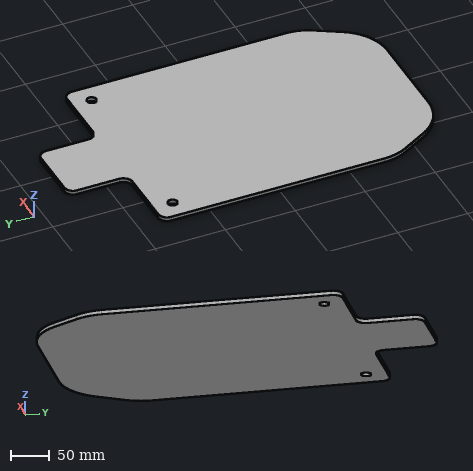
import cadquery as cq
import math

plate_width = 304.8
overall_length = 508.0
thickness = 6.35

tab_width = 96.0
tab_length = 85.725
small_corner_radius = 12.7

clip_height = 85.725
clip_angle = math.radians(60)
clip_corner_radius = 69.85

hole_diameter = 12.7
hole_edge_distance = 27.94

half_width = plate_width / 2
half_tab = tab_width / 2
bottom_y = -overall_length / 2
top_y = overall_length / 2
shoulder_y = top_y - tab_length
clip_top_y = bottom_y + clip_height
half_bottom = half_width - clip_height / math.tan(clip_angle)


def mirrored_corners(x, y):
    """Two points of the outline, placed symmetrically about the YZ plane."""
    return [(-x, y), (x, y)]


def round_corners(body, corners, radius):
    """Fillet the vertical edges that stand on the given corner points."""
    for x, y in corners:
        edge = cq.selectors.NearestToPointSelector((x, y, thickness / 2))
        body = body.edges("|Z").edges(edge).fillet(radius)
    return body


def make_plate():
    right_side = [
        (half_bottom, bottom_y),
        (half_width, clip_top_y),
        (half_width, shoulder_y),
        (half_tab, shoulder_y),
        (half_tab, top_y),
    ]
    left_side = [(-x, y) for x, y in reversed(right_side)]
    return cq.Workplane("XY").polyline(right_side + left_side).close().extrude(thickness)


def round_outline(body):
    clip_corners = mirrored_corners(half_bottom, bottom_y) + mirrored_corners(half_width, clip_top_y)
    small_corners = (
        mirrored_corners(half_width, shoulder_y)
        + mirrored_corners(half_tab, shoulder_y)
        + mirrored_corners(half_tab, top_y)
    )
    body = round_corners(body, clip_corners, clip_corner_radius)
    return round_corners(body, small_corners, small_corner_radius)


def cut_holes(body):
    centers = mirrored_corners(half_width - hole_edge_distance, shoulder_y - hole_edge_distance)
    holes = cq.Workplane("XY").pushPoints(centers).circle(hole_diameter / 2).extrude(thickness)
    return body.cut(holes)


result = cut_holes(round_outline(make_plate()))